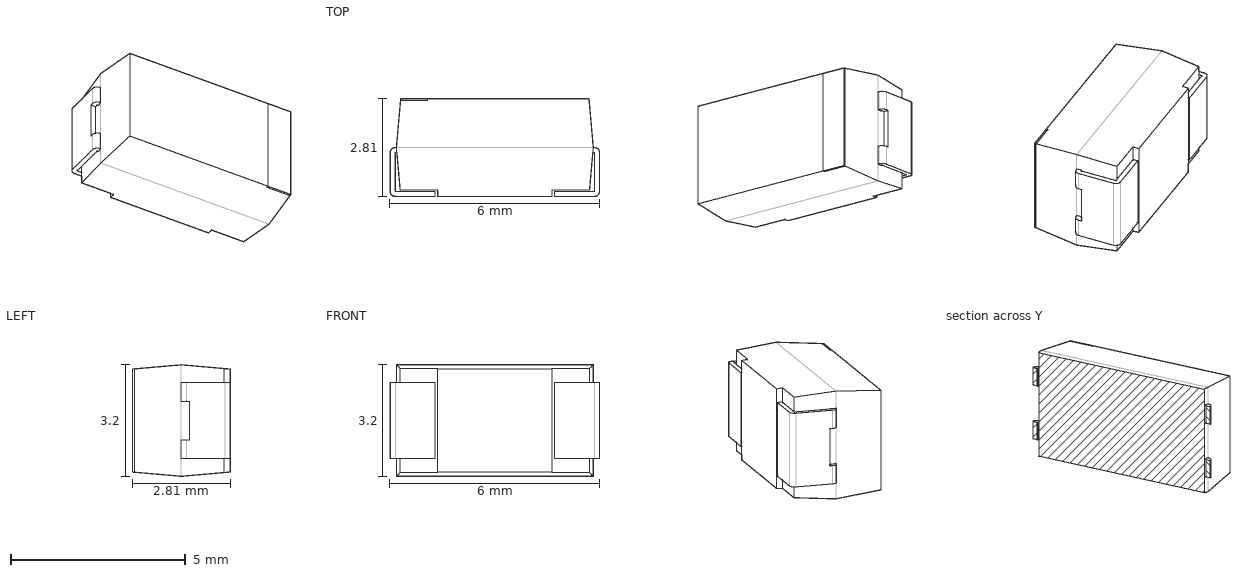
import cadquery as cq
import math

PARTING_LENGTH = 5.64
PARTING_HEIGHT = 3.2
BACK_DEPTH = 1.4
FRONT_DEPTH = 1.405
DRAFT_ANGLE = 5.0
DRAFT_SLOPE = math.tan(math.radians(DRAFT_ANGLE))

PAD_LENGTH = 3.28
RECESS_DEPTH = 0.18

BAND_THICKNESS = 0.055
BAND_INNER_X = -1.925

LEADS_SPAN = 6.0
LEAD_THICKNESS = 0.15
LEAD_BEND_RADIUS = 0.15
LEAD_WIDTH = 2.185
FOOT_GAP = 0.065
NOTCH_WIDTH = 1.105
NOTCH_DEPTH = 0.24


def drafted_half(direction, depth):
    """Half of the housing, tapering from the parting plane along direction * Y."""
    plane = cq.Plane(origin=(0, 0, 0), xDir=(1, 0, 0), normal=(0, direction, 0))
    return (
        cq.Workplane(plane)
        .rect(PARTING_LENGTH, PARTING_HEIGHT)
        .extrude(depth, taper=DRAFT_ANGLE)
    )


def lead_recess(side):
    """Cutter for the full-height step beside the pad; side is -1 or +1 along X."""
    length = (LEADS_SPAN - PAD_LENGTH) / 2
    center_x = side * (LEADS_SPAN + PAD_LENGTH) / 4
    return (
        cq.Workplane("XY")
        .box(length, RECESS_DEPTH, PARTING_HEIGHT)
        .translate((center_x, -FRONT_DEPTH + RECESS_DEPTH / 2, 0))
    )


def make_moulding():
    """Complete moulded envelope, including the volume of the polarity band."""
    moulding = drafted_half(1, BACK_DEPTH).union(drafted_half(-1, FRONT_DEPTH))
    for side in (-1, 1):
        moulding = moulding.cut(lead_recess(side))
    return moulding


def make_band(moulding):
    """Thin inlay that follows the drafted sides of the moulding."""
    length = PARTING_LENGTH / 2 + BAND_INNER_X
    band_space = (
        cq.Workplane("XY")
        .box(length, BAND_THICKNESS, PARTING_HEIGHT)
        .translate((BAND_INNER_X - length / 2, BACK_DEPTH - BAND_THICKNESS / 2, 0))
    )
    return moulding.intersect(band_space)


def make_left_lead():
    """C-shaped lead from the housing's -X side to the foot under the -Y face."""
    outer_x = -LEADS_SPAN / 2
    inner_x = outer_x + LEAD_THICKNESS
    housing_x = -PARTING_LENGTH / 2
    drafted_housing_x = housing_x + LEAD_THICKNESS * DRAFT_SLOPE
    foot_end_x = -PAD_LENGTH / 2 - FOOT_GAP
    bend_x = outer_x + LEAD_BEND_RADIUS
    mid_bend = LEAD_BEND_RADIUS * (1 - math.sqrt(0.5))
    lead = (
        cq.Workplane("XY")
        .moveTo(housing_x, 0)
        .lineTo(bend_x, 0)
        .threePointArc((outer_x + mid_bend, -mid_bend), (outer_x, -LEAD_BEND_RADIUS))
        .lineTo(outer_x, -FRONT_DEPTH + LEAD_BEND_RADIUS)
        .threePointArc((outer_x + mid_bend, -FRONT_DEPTH + mid_bend), (bend_x, -FRONT_DEPTH))
        .lineTo(foot_end_x, -FRONT_DEPTH)
        .lineTo(foot_end_x, -FRONT_DEPTH + LEAD_THICKNESS)
        .lineTo(inner_x, -FRONT_DEPTH + LEAD_THICKNESS)
        .lineTo(inner_x, -LEAD_THICKNESS)
        .lineTo(drafted_housing_x, -LEAD_THICKNESS)
        .close()
        .extrude(LEAD_WIDTH / 2, both=True)
    )
    notch_length = drafted_housing_x - outer_x
    notch = (
        cq.Workplane("XY")
        .box(notch_length, NOTCH_DEPTH, NOTCH_WIDTH)
        .translate((outer_x + notch_length / 2, -NOTCH_DEPTH / 2, 0))
    )
    return lead.cut(notch)


moulding = make_moulding()
band = make_band(moulding)
housing = moulding.cut(band)

leads = []
for turn_angle in (0, 180):
    leads.append(make_left_lead().rotate((0, 0, 0), (0, 1, 0), turn_angle))

bodies = [housing, band, *leads]
result = cq.Compound.makeCompound([body.solids().val() for body in bodies])